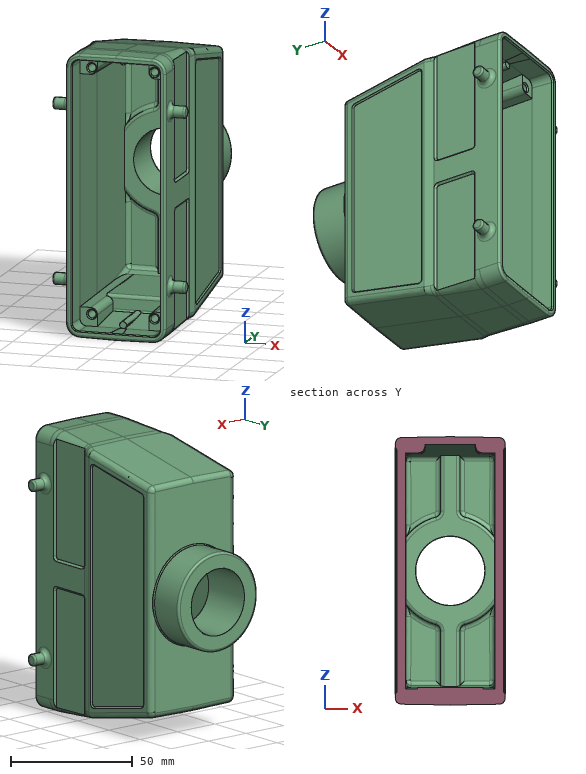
import cadquery as cq
import math


rim_half_x = 21.5
rim_half_z = 60.1
back_half_x = 22.65
ridge_angle = 1.0
band_end_y = 11.2
bend_y = 32.2
widened_y = 36.4
back_y = 76.1
band_slope = 0.1
back_slope = 0.2
rim_corner_r = 6.0
bend_corner_r = 3.5
back_corner_r = 2.6
back_edge_r = 2.4
rim_edge_r = 1.0
bend_ease = 1.4

collar_d = 42.0
collar_end_y = 92.0
collar_edge_r = 1.0
collar_base_r = 0.5
bore_d = 28.4

mouth_half_x = 19.3
mouth_half_z = 57.5
mouth_corner_r = 3.4
mouth_edge = 0.8
mouth_bevel = 0.35
seat_y = 10.0
seat_half_x = 18.55
seat_half_z = 57.1
seat_corner_r = 2.8
inner_bend_half_x = 18.4
inner_bend_half_z = 54.6
inner_slope = 0.195
floor_half_x = 18.1
floor_y = 72.5
inner_corner_r = 2.0
floor_edge_r = 1.9

land_height = 3.5
land_r = 22.9
land_rib_half_x = 4.0
land_notch_r = 2.6
land_reach_z = 49.0
land_edge_r = 1.4

screw_x = 13.5
screw_z = 52.0
screw_d = 3.4
screw_mouth_d = 4.4
screw_depth = 12.0
boss_half_x = 2.4
boss_half_z = 2.8
boss_growth = 1.4
boss_corner_r = 2.9
wall_overlap = 1.0

guide_z = 55.7
guide_front_r = 1.5
guide_back_r = 1.8
guide_back_z = 55.5
guide_end_y = 45.0
relief_mouth_half_x = 2.9

shelf_y = 30.0
shelf_z = 47.9
shelf_edge_r = 1.5
shelf_root_r = 1.3
shelf_root_z = 55.3

peg_y = 6.3
peg_z = 37.0
peg_d = 5.0
peg_tip_x = 28.5
peg_tip_r = 0.8
peg_root_r = 2.0
peg_embed = 1.0

grip_depth = 0.9
grip_start_y = 12.0
grip_end_y = 32.1
grip_inner_z = 5.3
grip_corner_r = 2.0
panel_depth = 0.6
panel_start_y = 37.2
panel_end_y = 71.5
panel_margin_z = 4.8
panel_corner_r = 2.0


def interpolate(y, points):
    """Value at y on the straight stretches between (y, value) points."""
    for (y0, value0), (y1, value1) in zip(points, points[1:]):
        if y <= y1:
            return value0 + (value1 - value0) * (y - y0) / (y1 - y0)
    return points[-1][1]


def sharp_half_z(y):
    """Half height of the shell on the ridge, before its bends are flattened."""
    if y < bend_y:
        return rim_half_z - band_slope * max(0, y - band_end_y)
    bend_half_z = rim_half_z - band_slope * (bend_y - band_end_y)
    return bend_half_z - back_slope * (y - bend_y)


def outer_half_z(y):
    """Half height of the shell on the ridge."""
    bends = [0, band_end_y - bend_ease, band_end_y + bend_ease]
    bends += [bend_y - bend_ease, bend_y + bend_ease, back_y]
    return interpolate(y, [(bend, sharp_half_z(bend)) for bend in bends])


def outer_half_x(y):
    """Half width of the shell."""
    return interpolate(
        y, [(0, rim_half_x), (bend_y, rim_half_x), (widened_y, back_half_x), (back_y, back_half_x)]
    )


def outer_corner_r(y):
    """Radius of the four long corners of the shell."""
    return interpolate(
        y,
        [
            (0, rim_corner_r),
            (band_end_y, rim_corner_r),
            (bend_y, bend_corner_r),
            (widened_y, back_corner_r),
            (back_y, back_corner_r),
        ],
    )


def section(y, half_x, half_z, corner_r, ridge_angle=0.0):
    """Rounded rectangle across the Y axis; its short sides fall away from the middle at the angle."""
    fall = math.radians(ridge_angle)
    turn = (math.pi / 2 + fall) / 2
    arc_x = half_x - corner_r
    arc_z = half_z - arc_x * math.tan(fall) - corner_r / math.cos(fall)
    start_x = arc_x + corner_r * math.sin(fall)
    start_z = arc_z + corner_r * math.cos(fall)
    mid_x = arc_x + corner_r * math.sin(turn)
    mid_z = arc_z + corner_r * math.cos(turn)
    outline = (
        cq.Workplane("XZ", origin=(0, y, 0))
        .moveTo(0, half_z)
        .lineTo(start_x, start_z)
        .threePointArc((mid_x, mid_z), (half_x, arc_z))
        .lineTo(half_x, -arc_z)
        .threePointArc((mid_x, -mid_z), (start_x, -start_z))
        .lineTo(0, -half_z)
        .lineTo(-start_x, -start_z)
        .threePointArc((-mid_x, -mid_z), (-half_x, -arc_z))
        .lineTo(-half_x, arc_z)
        .threePointArc((-mid_x, mid_z), (-start_x, start_z))
        .close()
    )
    return outline.val()


def stacked(sections):
    """Straight-sided solid through the sections, joined stretch by stretch."""
    body = None
    for start, end in zip(sections, sections[1:]):
        stretch = cq.Workplane(cq.Solid.makeLoft([start, end], True))
        body = stretch if body is None else body.union(stretch)
    return body.clean()


def shell_block():
    stations = [
        0,
        band_end_y - bend_ease,
        band_end_y + bend_ease,
        bend_y - bend_ease,
        bend_y,
        bend_y + bend_ease,
        widened_y,
        back_y,
    ]
    block = stacked(
        [section(y, outer_half_x(y), outer_half_z(y), outer_corner_r(y), ridge_angle) for y in stations]
    )
    block = block.faces(">Y").edges().fillet(back_edge_r)
    return block.faces("<Y").edges().fillet(rim_edge_r)


def collar():
    """Cable collar, turned about the Y axis, with a flared base that sinks into the back wall."""
    radius = collar_d / 2
    base_y = back_y - back_edge_r
    flare = collar_base_r * (1 - math.sqrt(0.5))
    tip = collar_edge_r * (1 - math.sqrt(0.5))
    return (
        cq.Workplane("XY")
        .moveTo(0, base_y)
        .lineTo(radius + collar_base_r, base_y)
        .lineTo(radius + collar_base_r, back_y)
        .threePointArc((radius + flare, back_y + flare), (radius, back_y + collar_base_r))
        .lineTo(radius, collar_end_y - collar_edge_r)
        .threePointArc((radius - tip, collar_end_y - tip), (radius - collar_edge_r, collar_end_y))
        .lineTo(0, collar_end_y)
        .close()
        .revolve(360, (0, 0, 0), (0, 1, 0))
    )


def cavity():
    """Tapering hollow behind the mouth, with the land left standing on its floor."""
    floor_half_z = inner_bend_half_z - inner_slope * (floor_y - bend_y)
    edge_half_x = mouth_half_x - mouth_bevel
    edge_half_z = mouth_half_z - mouth_bevel
    sections = [
        section(0, mouth_half_x, mouth_half_z, mouth_corner_r),
        section(mouth_edge, edge_half_x, edge_half_z, mouth_corner_r - mouth_bevel),
        section(seat_y, seat_half_x, seat_half_z, seat_corner_r),
        section(bend_y, inner_bend_half_x, inner_bend_half_z, inner_corner_r),
        section(floor_y, floor_half_x, floor_half_z, inner_corner_r),
    ]
    return stacked(sections).cut(land()).faces(">Y").edges().fillet(floor_edge_r)


def land():
    """Cross-shaped raised area; it reaches into the walls of the cavity."""
    plane = cq.Workplane("XZ", origin=(0, floor_y, 0))
    ring = plane.circle(land_r).extrude(land_height)
    rib = plane.rect(2 * land_rib_half_x, 2 * land_reach_z).extrude(land_height)
    cross = ring.union(rib)
    notch_z = math.sqrt(land_r**2 - land_rib_half_x**2)
    for x in (-land_rib_half_x, land_rib_half_x):
        for z in (-notch_z, notch_z):
            corner = cq.selectors.NearestToPointSelector((x, floor_y - land_height / 2, z))
            cross = cross.edges("|Y").edges(corner).fillet(land_notch_r)
    return cross.faces("<Y").edges().fillet(land_edge_r)


def boss_profile(y, growth):
    """Boss section for the corner at +X, +Z, reaching into the walls."""
    inner_x = screw_x - boss_half_x - growth
    inner_z = screw_z - boss_half_z - growth
    outer_x = inner_bend_half_x + wall_overlap
    outer_z = mouth_half_z
    corner = boss_corner_r * (1 - math.sqrt(0.5))
    return (
        cq.Workplane("XZ", origin=(0, y, 0))
        .moveTo(outer_x, inner_z)
        .lineTo(inner_x + boss_corner_r, inner_z)
        .threePointArc((inner_x + corner, inner_z + corner), (inner_x, inner_z + boss_corner_r))
        .lineTo(inner_x, outer_z)
        .lineTo(outer_x, outer_z)
        .close()
        .val()
    )


def in_four_corners(body):
    """The body made for +X, +Z, mirrored to all four corners."""
    pair = body.union(body.mirror("YZ"))
    return pair.union(pair.mirror("XY"))


def bosses():
    ends = [boss_profile(seat_y, 0), boss_profile(floor_y, boss_growth)]
    boss = cq.Workplane(cq.Solid.makeLoft(ends, True))
    return in_four_corners(boss)


def screw_holes():
    plane = cq.Workplane("XZ", origin=(0, seat_y, 0)).center(screw_x, screw_z)
    hole = plane.circle(screw_d / 2).extrude(-screw_depth)
    countersink = cq.Solid.makeCone(
        screw_mouth_d / 2,
        screw_d / 2,
        (screw_mouth_d - screw_d) / 2,
        pnt=cq.Vector(screw_x, seat_y, screw_z),
        dir=cq.Vector(0, 1, 0),
    )
    return in_four_corners(hole.union(cq.Workplane(countersink)))


def guide_ribs():
    """Round ribs along the end walls, getting thicker towards the floor."""
    rib = (
        cq.Workplane("XZ", origin=(0, seat_y, 0))
        .center(0, guide_z)
        .circle(guide_front_r)
        .workplane(offset=seat_y - guide_end_y)
        .center(0, guide_back_z - guide_z)
        .circle(guide_back_r)
        .loft()
    )
    return rib.union(rib.mirror("XY"))


def guide_reliefs():
    """Shallow flat reliefs in the end walls, widening from the guide ribs to the mouth."""
    relief = (
        cq.Workplane("XY")
        .moveTo(-relief_mouth_half_x, 0)
        .lineTo(relief_mouth_half_x, 0)
        .lineTo(guide_front_r, seat_y)
        .lineTo(-guide_front_r, seat_y)
        .close()
        .extrude(mouth_half_z - mouth_bevel)
    )
    return relief.union(relief.mirror("XY"))


def shelf():
    """Block between the two lower bosses, in front of the floor, with a hollow rounding at its root."""
    root = shelf_root_r * (1 - math.sqrt(0.5))
    edge = shelf_edge_r * (1 - math.sqrt(0.5))
    return (
        cq.Workplane("YZ", origin=(-screw_x, 0, 0))
        .moveTo(floor_y, -mouth_half_z)
        .lineTo(floor_y, -shelf_z)
        .lineTo(shelf_y + shelf_edge_r, -shelf_z)
        .threePointArc((shelf_y + edge, -shelf_z - edge), (shelf_y, -shelf_z - shelf_edge_r))
        .lineTo(shelf_y, -shelf_root_z + shelf_root_r)
        .threePointArc((shelf_y - root, -shelf_root_z + root), (shelf_y - shelf_root_r, -shelf_root_z))
        .lineTo(shelf_y - shelf_root_r, -mouth_half_z)
        .close()
        .extrude(2 * screw_x)
    )


def pegs():
    """Locking pegs with a flared root, turned about their own axes."""
    radius = peg_d / 2
    root_x = rim_half_x
    flare = peg_root_r * (1 - math.sqrt(0.5))
    tip = peg_tip_r * (1 - math.sqrt(0.5))
    peg = (
        cq.Workplane("XY")
        .moveTo(root_x - peg_embed, 0)
        .lineTo(root_x - peg_embed, radius + peg_root_r)
        .lineTo(root_x, radius + peg_root_r)
        .threePointArc((root_x + flare, radius + flare), (root_x + peg_root_r, radius))
        .lineTo(peg_tip_x - peg_tip_r, radius)
        .threePointArc((peg_tip_x - tip, radius - tip), (peg_tip_x, radius - peg_tip_r))
        .lineTo(peg_tip_x, 0)
        .close()
        .revolve(360, (0, 0, 0), (1, 0, 0))
        .translate((0, peg_y, peg_z))
    )
    return in_four_corners(peg)


def sloped_recess(outline, depth, corner_edges, corner_r):
    """Cutter for a recess with a border sloping at 45 degrees; the outline lies `depth` outside the face."""
    cutter = outline.extrude(-2 * depth).edges(corner_edges).fillet(corner_r)
    return cutter.faces("<X").edges().chamfer(depth)


def grip_recesses():
    """Recesses in the side faces, open towards the long corners of the shell."""
    length = grip_end_y - grip_start_y
    height = rim_half_z - grip_inner_z
    outline = (
        cq.Workplane("YZ", origin=(rim_half_x + grip_depth, 0, 0))
        .center(grip_start_y + length / 2, grip_inner_z + height / 2)
        .rect(length, height)
    )
    return in_four_corners(sloped_recess(outline, grip_depth, "|X and <Z", grip_corner_r))


def panel_recesses():
    """Shallow four-sided recesses in the sides of the rear housing."""
    start_z = sharp_half_z(panel_start_y) - panel_margin_z
    end_z = sharp_half_z(panel_end_y) - panel_margin_z
    outline = (
        cq.Workplane("YZ", origin=(back_half_x + panel_depth, 0, 0))
        .moveTo(panel_start_y, -start_z)
        .lineTo(panel_end_y, -end_z)
        .lineTo(panel_end_y, end_z)
        .lineTo(panel_start_y, start_z)
        .close()
    )
    recess = sloped_recess(outline, panel_depth, "|X", panel_corner_r)
    return recess.union(recess.mirror("YZ"))


def bore():
    return cq.Workplane("XZ").circle(bore_d / 2).extrude(-collar_end_y)


shell = shell_block().union(collar())
shell = shell.cut(grip_recesses()).cut(panel_recesses()).union(pegs())
void = cavity().cut(bosses()).cut(shelf()).cut(guide_ribs())
result = shell.cut(void).cut(guide_reliefs()).cut(screw_holes()).cut(bore())